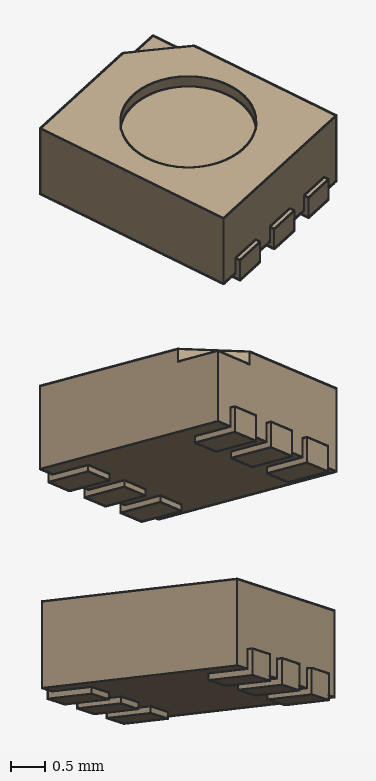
import cadquery as cq

length = 3.5
width = 2.8
height = 1.4

lead_wall = 0.08
foot_thickness = 0.1
foot_length = 0.75
lead_height = 0.4
lead_width = 0.5
lead_pitch = 0.85

body_length = length - 2 * lead_wall
body_height = height - foot_thickness

window_diameter = 2.0
window_depth = 0.2
corner_leg = 0.75
corner_depth = 0.2


def make_body():
    body = cq.Workplane("XY").workplane(offset=foot_thickness).rect(body_length, width).extrude(body_height)
    window = cq.Workplane("XY").workplane(offset=height).circle(window_diameter / 2).extrude(-window_depth)
    return body.cut(window).cut(make_corner_mark())


def make_corner_mark():
    """Triangular step at the -X, +Y corner."""
    corner_x = -body_length / 2
    corner_y = width / 2
    return (
        cq.Workplane("XY")
        .workplane(offset=height)
        .moveTo(corner_x, corner_y)
        .lineTo(corner_x + corner_leg, corner_y)
        .lineTo(corner_x, corner_y - corner_leg)
        .close()
        .extrude(-corner_depth)
    )


def make_lead(side, center_y):
    """Lead at the +X (side = 1) or -X (side = -1) end."""
    outer_x = side * length / 2
    wall_x = outer_x - side * lead_wall
    foot_x = outer_x - side * foot_length
    profile = [
        (outer_x, 0),
        (outer_x, lead_height),
        (wall_x, lead_height),
        (wall_x, foot_thickness),
        (foot_x, foot_thickness),
        (foot_x, 0),
    ]
    lead = cq.Workplane("XZ").polyline(profile).close().extrude(lead_width / 2, both=True)
    return lead.translate((0, center_y, 0))


result = make_body()
for side in (-1, 1):
    for row in (-1, 0, 1):
        result = result.union(make_lead(side, row * lead_pitch))